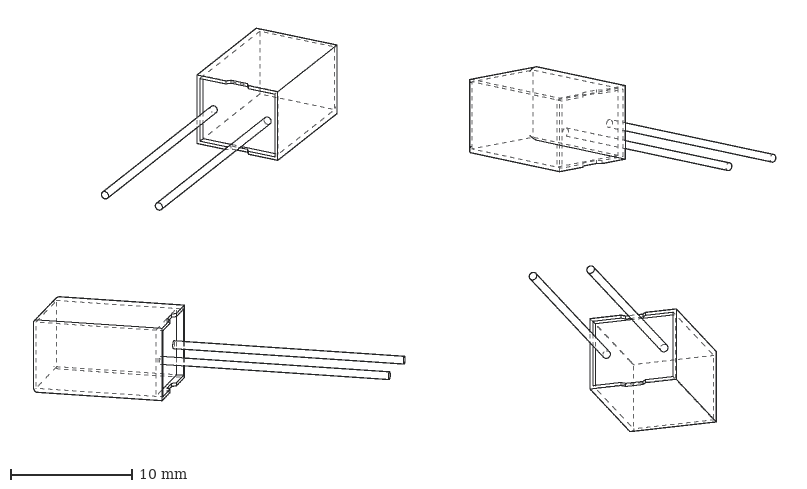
import cadquery as cq

case_width = 7.5
case_height = 6.2
total_length = 30.1
case_length = 11.08
wall = 0.27
back_fillet = 0.48

notch_mouth = 2.1
notch_floor = 1.5
notch_depth = 0.33

fill_recess = 0.6
lead_pitch = 5.0
lead_diameter = 0.65

cavity_width = case_width - 2 * wall
cavity_height = case_height - 2 * wall
fill_length = case_length - wall - fill_recess
lead_length = total_length - case_length + fill_recess


def block_along_y(width, height, length, start):
    """Box centred on the Y axis, running toward +Y from Y = start."""
    return cq.Workplane("XY").box(width, length, height).translate((0, start + length / 2, 0))


def make_notch():
    """Cutter through both the upper and the lower wall."""
    return (
        cq.Workplane("XY")
        .polyline([
            (-notch_mouth / 2, 0),
            (notch_mouth / 2, 0),
            (notch_floor / 2, notch_depth),
            (-notch_floor / 2, notch_depth),
        ])
        .close()
        .extrude(case_height / 2, both=True)
    )


def make_case():
    """Open box with rounded edges around its closed back."""
    outside = block_along_y(case_width, case_height, case_length, 0)
    outside = outside.faces(">Y").edges().fillet(back_fillet)
    cavity = block_along_y(cavity_width, cavity_height, case_length - wall, 0)
    return outside.cut(cavity).cut(make_notch())


def make_filling():
    """Solid block that fills the case up to a little below the rim."""
    return block_along_y(cavity_width, cavity_height, fill_length, fill_recess)


def make_lead(x):
    """Straight round wire standing on the face of the filling."""
    return (
        cq.Workplane("XZ", origin=(x, fill_recess, 0))
        .circle(lead_diameter / 2)
        .extrude(lead_length)
    )


case = make_case()
filling = make_filling()
leads = [make_lead(side * lead_pitch / 2) for side in (-1, 1)]

result = cq.Compound.makeCompound([case.val(), filling.val(), *[lead.val() for lead in leads]])